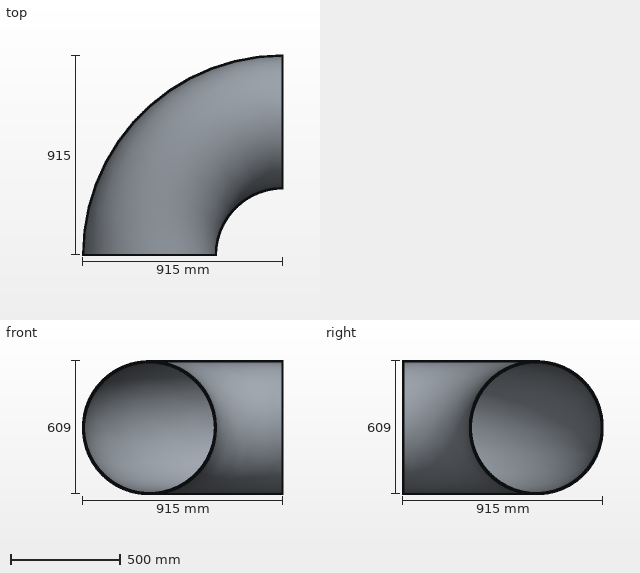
import cadquery as cq

overall_length = 915.0
outer_diameter = 609.0
wall_thickness = 5.0
bend_angle = 90.0

outer_radius = outer_diameter / 2
inner_radius = outer_radius - wall_thickness
bend_radius = overall_length - outer_radius

pipe_section = (
    cq.Workplane("XZ")
    .center(-bend_radius, 0)
    .circle(outer_radius)
    .circle(inner_radius)
)

axis_start = (bend_radius, 0)
axis_end = (bend_radius, -1)
result = pipe_section.revolve(bend_angle, axis_start, axis_end)